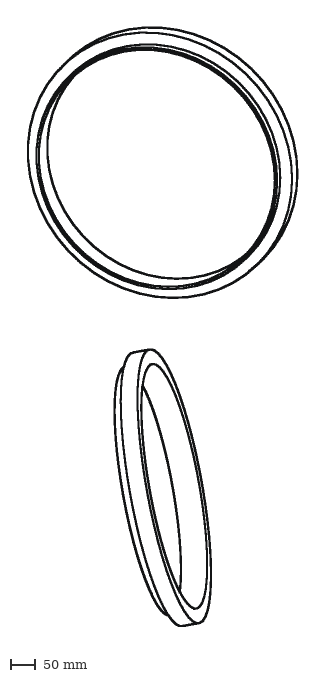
import cadquery as cq

outer_diameter = 560.0
bore_diameter = 500.0
spigot_wall = 5.0
spigot_diameter = bore_diameter + 2 * spigot_wall

total_length = 55.0
spigot_length = 20.0
flange_length = total_length - spigot_length


def ring(diameter, length):
    """Ring around the common bore, extruded toward -Y from the XZ plane."""
    return (
        cq.Workplane("XZ")
        .circle(diameter / 2)
        .circle(bore_diameter / 2)
        .extrude(length)
    )


flange = ring(outer_diameter, flange_length)
spigot = ring(spigot_diameter, total_length)

result = flange.union(spigot)